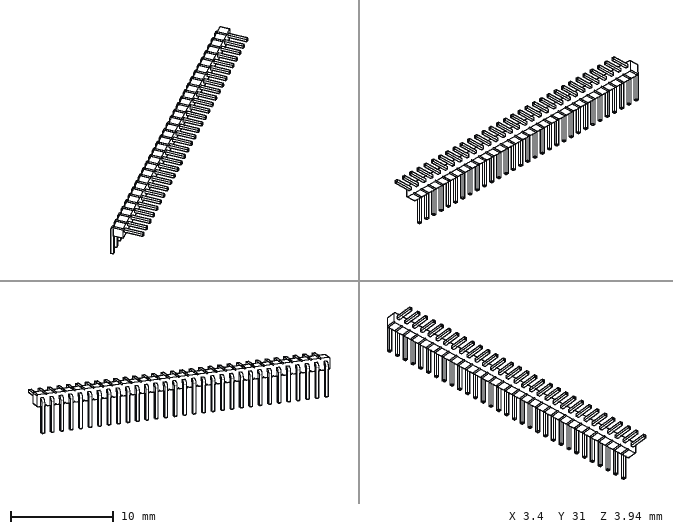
import cadquery as cq


PIN_COUNT = 31
PITCH = 1.0

BODY_DEPTH = 1.0
BODY_HEIGHT = 1.27
NOTCH_RUN = 0.1
NOTCH_RISE = 0.11

PIN_SIZE = 0.3
LEG_GAP = 0.1
PIN_LENGTH_X = 3.4
TOTAL_HEIGHT = 3.94
PIN_AXIS_HEIGHT = 0.76
TIP_TAPER = 0.08
TIP_LENGTH = 0.08

HALF_PIN = PIN_SIZE / 2
BODY_FRONT = HALF_PIN + LEG_GAP
BEND_RADIUS = BODY_FRONT
LEG_END_Z = BODY_HEIGHT - TOTAL_HEIGHT
TAIL_END_X = PIN_LENGTH_X - HALF_PIN


def make_body():
    """Bar made of one eight-sided block per pin, which leaves notches between the blocks."""
    half_pitch = PITCH / 2
    flat = half_pitch - NOTCH_RUN
    shoulder = BODY_HEIGHT - NOTCH_RISE

    outline = cq.Workplane("YZ", origin=(BODY_FRONT, 0, 0)).moveTo(-half_pitch, NOTCH_RISE)
    for i in range(PIN_COUNT):
        y = i * PITCH
        outline = outline.lineTo(y - flat, 0).lineTo(y + flat, 0).lineTo(y + half_pitch, NOTCH_RISE)
    for i in reversed(range(PIN_COUNT)):
        y = i * PITCH
        outline = outline.lineTo(y + half_pitch, shoulder)
        outline = outline.lineTo(y + flat, BODY_HEIGHT).lineTo(y - flat, BODY_HEIGHT)
    outline = outline.lineTo(-half_pitch, shoulder)
    return outline.close().extrude(BODY_DEPTH)


def make_tip(plane):
    """Tapered pin end, growing along the normal of the given plane."""
    end_size = PIN_SIZE - 2 * TIP_TAPER
    base = cq.Workplane(plane).rect(PIN_SIZE, PIN_SIZE)
    return base.workplane(offset=TIP_LENGTH).rect(end_size, end_size).loft(ruled=True)


def make_pin():
    """Square pin with a vertical leg, a rounded bend and a horizontal tail."""
    bend_start_z = PIN_AXIS_HEIGHT - BEND_RADIUS
    leg_base_z = LEG_END_Z + TIP_LENGTH
    tail_base_x = TAIL_END_X - TIP_LENGTH

    path = (
        cq.Workplane("XZ")
        .moveTo(0, leg_base_z)
        .lineTo(0, bend_start_z)
        .radiusArc((BEND_RADIUS, PIN_AXIS_HEIGHT), BEND_RADIUS)
        .lineTo(tail_base_x, PIN_AXIS_HEIGHT)
    )
    leg_base = cq.Workplane("XY", origin=(0, 0, leg_base_z))
    shank = leg_base.rect(PIN_SIZE, PIN_SIZE).sweep(path)

    leg_tip = make_tip(cq.Plane((0, 0, leg_base_z), xDir=(1, 0, 0), normal=(0, 0, -1)))
    tail_tip = make_tip(cq.Plane((tail_base_x, 0, PIN_AXIS_HEIGHT), xDir=(0, 1, 0), normal=(1, 0, 0)))
    return shank.union(leg_tip).union(tail_tip)


pin = make_pin().val()
pins = [pin.translate(cq.Vector(0, i * PITCH, 0)) for i in range(PIN_COUNT)]
result = cq.Workplane(make_body().val().fuse(*pins))